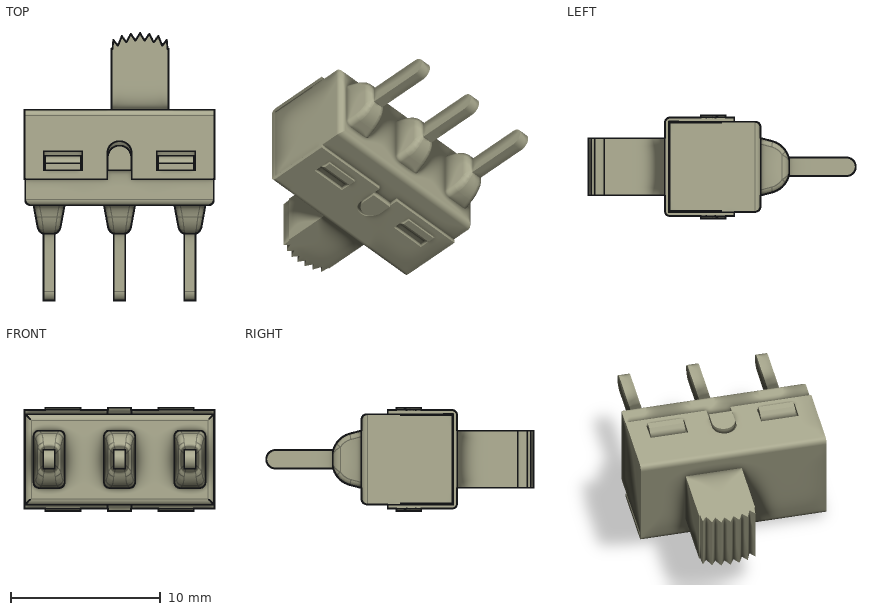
import cadquery as cq
import math


shell_length = 12.7
overall_depth = 17.86
overall_height = 6.91

shell_height = 6.6
shell_wall = 0.28
shell_corner = 0.38
shell_back = 6.4
shell_front = 1.75

housing_length = 12.6
housing_height = shell_height - 2 * shell_wall
back_gap = 0.04
housing_back = shell_back - shell_wall - back_gap
housing_round = 0.4

relief_depth = 0.07
relief_front = 2.64
open_relief_front = 5.48
blind_relief_length = 0.3

latch_front = 2.34
latch_height = overall_height / 2
side_latch_x = 3.78
side_latch_length = 2.38
side_latch_flat = 0.48
side_latch_depth = 0.97
window_length = 2.58
window_depth = 1.29
center_latch_radius = 0.78
center_latch_back = 4.0
notch_radius = 0.82
notch_back = 4.29

slider_x = 1.37
slider_size = 3.83
slider_shoulder = 10.45
shoulder_step = 0.07
crown_radius = 3.81
tooth_height = 0.49
peak_angle = 9.35
valley_angle = 10.6
teeth_per_side = 3

terminal_count = 3
terminal_pitch = 4.7
pin_length = 6.35
pin_width = 0.77
pin_height = 1.25
boss_length = 1.95
boss_width = 2.08
boss_height = 3.84
boss_side_taper = 10.5
boss_end_taper = 14.6
boss_nose_radius = 1.62
boss_tip_round = 0.65
boss_edge_round = 0.4

root_overlap = 0.4

slider_tip = overall_depth - pin_length


def block(length, height, front, back, x=0, z=0):
    """Box centred on x and z that runs from front to back along Y."""
    depth = back - front
    return cq.Workplane("XY").box(length, depth, height).translate((x, front + depth / 2, z))


def make_shell():
    """U-shaped channel with side windows and a round notch in both walls."""
    outer = block(shell_length, shell_height, shell_front, shell_back)
    outer = outer.edges("|X and >Y").fillet(shell_corner)
    cavity = block(shell_length, housing_height, shell_front, shell_back - shell_wall)
    shell = outer.cut(cavity)
    for x in (-side_latch_x, side_latch_x):
        window = block(window_length, shell_height, latch_front, latch_front + window_depth, x)
        shell = shell.cut(window)
    return shell.cut(tongue(notch_radius, shell_front, notch_back, shell_height))


def tongue(radius, front, back, height):
    """Round-ended slab centred on X = 0, its round end toward +Y."""
    return (
        cq.Workplane("XY", origin=(0, 0, -height / 2))
        .moveTo(-radius, front)
        .lineTo(-radius, back - radius)
        .threePointArc((0, back), (radius, back - radius))
        .lineTo(radius, front)
        .close()
        .extrude(height)
    )


def make_housing():
    """Block with a rounded terminal face, relieved behind the walls of the shell."""
    housing = block(housing_length, housing_height, 0, housing_back)
    housing = housing.faces("<Y").edges().fillet(housing_round)
    relief_z = (housing_height - relief_depth) / 2
    blind_x = (housing_length - blind_relief_length) / 2
    for side in (-1, 1):
        z = side * relief_z
        housing = housing.cut(block(housing_length, relief_depth, open_relief_front, housing_back, z=z))
        for x in (-blind_x, blind_x):
            relief = block(blind_relief_length, relief_depth, relief_front, open_relief_front, x, z)
            housing = housing.cut(relief)
    return housing


def make_side_latch(x):
    """Pair of latches on the top and bottom of the housing, ramped on the +Y side."""
    latch_back = latch_front + side_latch_depth
    flat_end = latch_front + side_latch_flat
    base = housing_height / 2
    return (
        cq.Workplane("YZ", origin=(x - side_latch_length / 2, 0, 0))
        .polyline([
            (latch_front, -latch_height),
            (flat_end, -latch_height),
            (latch_back, -base),
            (latch_back, base),
            (flat_end, latch_height),
            (latch_front, latch_height),
        ])
        .close()
        .extrude(side_latch_length)
    )


def crown_point(radius, angle):
    """Point on an arc about the centre of the slider crown, angle measured from +Y."""
    turn = math.radians(angle)
    center_y = slider_tip - crown_radius
    return (slider_x + radius * math.sin(turn), center_y + radius * math.cos(turn))


def make_slider():
    """Square handle whose teeth peak on the crown arc."""
    left = slider_x - slider_size / 2
    right = slider_x + slider_size / 2
    root = housing_back - root_overlap
    points = [
        (left, root),
        (left, slider_shoulder),
        (left + shoulder_step, slider_shoulder),
    ]
    for tooth in range(-teeth_per_side, teeth_per_side + 1):
        points.append(crown_point(crown_radius, tooth * peak_angle))
        if tooth < teeth_per_side:
            points.append(crown_point(crown_radius - tooth_height, (tooth + 0.5) * valley_angle))
    points += [
        (right - shoulder_step, slider_shoulder),
        (right, slider_shoulder),
        (right, root),
    ]
    profile = cq.Workplane("XY", origin=(0, 0, -slider_size / 2)).polyline(points).close()
    return profile.extrude(slider_size)


def boss_profile(plane, width, taper, tip_round):
    """Slab tapering toward -Y in the given plane, with both tip corners rounded."""
    base = width / 2
    tip = base - boss_length * math.tan(math.radians(taper))
    corners = [(-base, 0), (base, 0), (tip, -boss_length), (-tip, -boss_length)]
    tip_corners = "|Z"
    if plane == "YZ":
        corners = [(y, across) for across, y in corners]
        tip_corners = "|X"
    slab = cq.Workplane(plane).polyline(corners).close().extrude(boss_height, both=True)
    return slab.faces("<Y").edges(tip_corners).fillet(tip_round)


def make_boss():
    """Boss tapered in both directions, with a round nose and rounded edges."""
    across_x = boss_profile("XY", boss_width, boss_side_taper, boss_tip_round)
    across_z = boss_profile("YZ", boss_height, boss_end_taper, boss_nose_radius)
    boss = across_x.intersect(across_z)
    return boss.edges("not(|X or |Z or >Y)").fillet(boss_edge_round)


def make_pin():
    """Flat blade with a half-round tip."""
    half_height = pin_height / 2
    round_start = half_height - pin_length
    return (
        cq.Workplane("YZ", origin=(-pin_width / 2, 0, 0))
        .moveTo(root_overlap, half_height)
        .lineTo(round_start, half_height)
        .threePointArc((-pin_length, 0), (round_start, -half_height))
        .lineTo(root_overlap, -half_height)
        .close()
        .extrude(pin_width)
    )


def make_switch():
    """Housing, shell, latches, slider and terminals joined into one solid."""
    switch = make_housing().union(make_shell())
    for x in (-side_latch_x, side_latch_x):
        switch = switch.union(make_side_latch(x))
    switch = switch.union(tongue(center_latch_radius, latch_front, center_latch_back, overall_height))
    switch = switch.union(make_slider())
    terminal = make_boss().union(make_pin())
    for index in range(terminal_count):
        x = (index - (terminal_count - 1) / 2) * terminal_pitch
        switch = switch.union(terminal.translate((x, 0, 0)))
    return switch


result = make_switch()